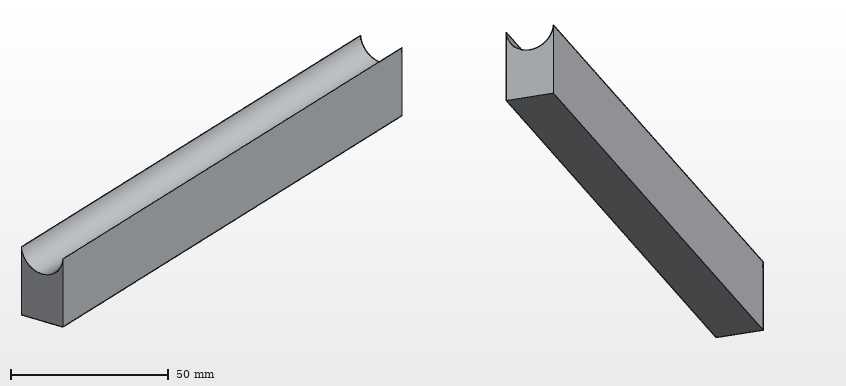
import cadquery as cq

width = 16.0
length = 190.0
height = 24.0

channel_depth = 7.5

half_width = width / 2
channel_floor = height - channel_depth

result = (
    cq.Workplane("XZ")
    .moveTo(-half_width, 0)
    .lineTo(half_width, 0)
    .lineTo(half_width, height)
    .threePointArc((0, channel_floor), (-half_width, height))
    .close()
    .extrude(length / 2, both=True)
)